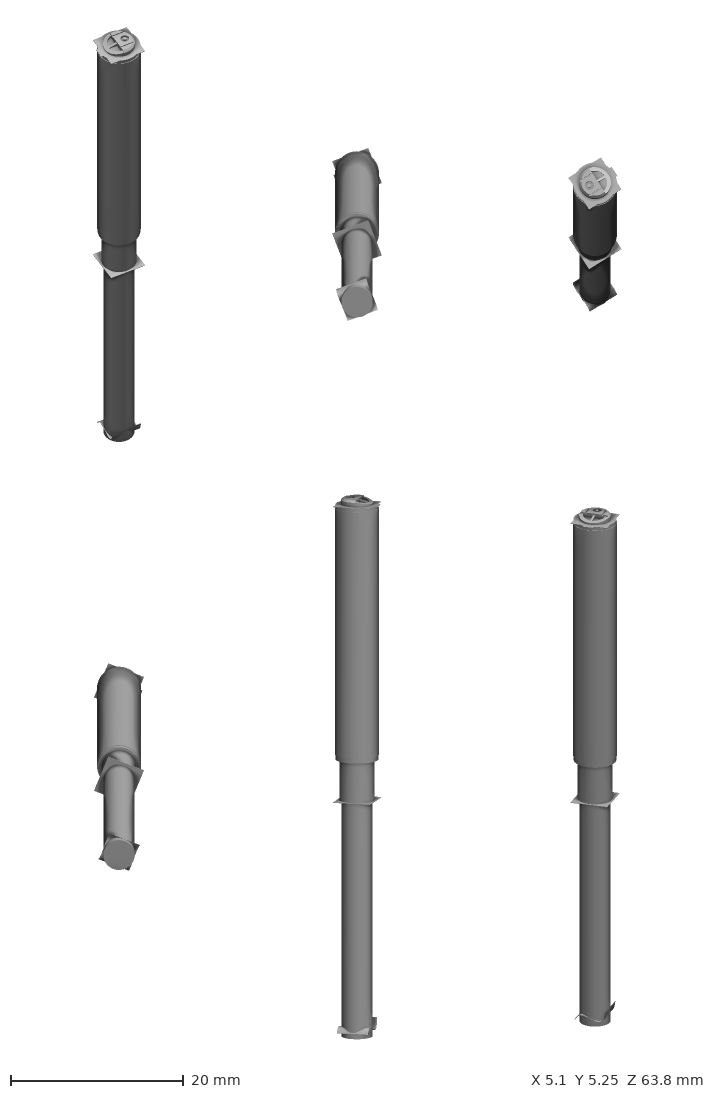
import cadquery as cq

total_height = 63.8
shank_diameter = 3.65
shank_radius = shank_diameter / 2
collar_radius = 2.05
body_radius = 2.55
shoulder_radius = 2.5
collar_bottom = 27.9
shoulder_bottom = 32.8
body_bottom = 33.35
body_top = 62.55
base_top = 63.0

plate_side = 4.45
plate_thickness = 0.05

wave_width = 3.75
wave_points = [(-1.85, 0.6), (-1.1, 1.2), (1.0, 0.65), (1.85, 1.9)]

crown_radius = 1.85
crown_chamfer = 0.25
slope_start_y = -0.3
slope_start_z = 63.6
lip_reach = 2.7
lip_width = 1.3
lip_thickness = 0.05
notch_offset = 1.0
notch_width = 0.2
notch_depth = 0.1
pocket_radius = 1.4
pocket_floor = 63.2
rib_width = 0.25
dimple_y = 0.75
dimple_radius = 0.5
dimple_pin_radius = 0.2
dimple_depth = 0.25


def cylinder(radius, bottom, top, y=0):
    return cq.Workplane("XY", origin=(0, y, bottom)).circle(radius).extrude(top - bottom)


def square_plate(top):
    return (
        cq.Workplane("XY", origin=(0, 0, top - plate_thickness))
        .rect(plate_side, plate_side)
        .extrude(plate_thickness)
    )


def wavy_sheet():
    upper_points = [(x, z + plate_thickness) for x, z in reversed(wave_points)]
    return (
        cq.Workplane("XZ")
        .moveTo(*wave_points[0])
        .spline(wave_points[1:], includeCurrent=True)
        .lineTo(*upper_points[0])
        .spline(upper_points[1:], includeCurrent=True)
        .close()
        .extrude(wave_width / 2, both=True)
    )


def stepped_body():
    sections = [
        (shank_radius, 0, collar_bottom),
        (collar_radius, collar_bottom, shoulder_bottom),
        (shoulder_radius, shoulder_bottom, body_bottom),
        (body_radius, body_bottom, body_top),
        (shoulder_radius, body_top, base_top),
    ]
    body = cylinder(*sections[0])
    for section in sections[1:]:
        body = body.union(cylinder(*section))
    return body


def crown():
    solid = cylinder(crown_radius, base_top, total_height).faces(">Z").chamfer(crown_chamfer)

    removed_slope = (
        cq.Workplane("YZ")
        .moveTo(slope_start_y, total_height)
        .lineTo(slope_start_y, slope_start_z)
        .lineTo(-lip_reach, base_top)
        .lineTo(-lip_reach, total_height)
        .close()
        .extrude(body_radius, both=True)
    )
    solid = solid.cut(removed_slope)

    half_space = cq.Workplane("XY").box(
        2 * body_radius, body_radius, total_height, centered=(True, False, False)
    ).translate((0, slope_start_y - body_radius, 0))
    rib = cq.Workplane("XY").box(
        rib_width, 2 * body_radius, total_height, centered=(True, True, False)
    )
    pocket = cylinder(pocket_radius, pocket_floor, total_height).intersect(half_space).cut(rib)
    solid = solid.cut(pocket)

    dimple_floor = total_height - dimple_depth
    dimple = cylinder(dimple_radius, dimple_floor, total_height, dimple_y).cut(
        cylinder(dimple_pin_radius, dimple_floor, total_height, dimple_y)
    )
    solid = solid.cut(dimple)

    for side in (-1, 1):
        notch = cq.Workplane("XY").box(
            notch_width, 2 * body_radius, notch_depth, centered=(True, True, False)
        ).translate((side * notch_offset, 0, total_height - notch_depth))
        solid = solid.cut(notch)
    return solid


def lip():
    return cq.Workplane("XY").box(
        lip_width, lip_reach, lip_thickness, centered=(True, False, False)
    ).translate((0, -lip_reach, base_top - lip_thickness))


result = (
    stepped_body()
    .union(crown())
    .union(lip())
    .union(square_plate(collar_bottom + plate_thickness))
    .union(square_plate(base_top))
    .union(wavy_sheet())
)